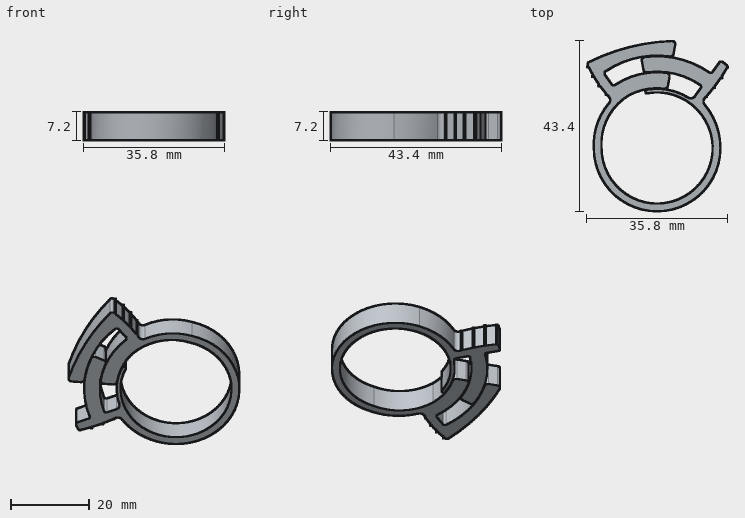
import cadquery as cq
import math

width = 7.2
ring_inner = 14.1
ring_outer = 16.15

clearance = 0.1
tongue_outer = 15.1
lower_jaw_inner = tongue_outer + clearance
lower_jaw_outer = 19.3
middle_jaw_inner = lower_jaw_outer + clearance
middle_jaw_outer = 23.4
upper_jaw_inner = middle_jaw_outer + clearance
post_tip = 27.55

left_jaw_end = 80
right_jaw_end = 100
tongue_end = 101.8
left_slot_wall = 125.4
right_slot_wall = 54
left_neck = 133.3
right_neck = 46.2

back_radius = 49.25
back_nearest = 26.65
back_nearest_angle = 103.6

swell_start = 180
swell_middle = 150
swell_end = 118
swell_inner_middle = 14.65
swell_outer_middle = 16.55
left_neck_outer = 16.8

right_swell_middle = 25
right_swell_outer = 16.22
right_neck_outer = 16.45

left_flank_top = (-17.87, 21.6)
left_flank_middle = (-14.9, 16.25)
right_flank_top = (18.05, 20.82)
right_flank_middle = (14.8, 15.88)

jaw_corner = 0.85
back_corner = 0.65
slot_corner = 0.55
tongue_root_corner = 1.2
tongue_corner = 0.4
neck_corner = 1.2
post_root_corner = 0.45
post_tip_corner = 0.65

bead_radius = 0.2
left_beads = [(-17.55, 20.65), (-16.3, 18.2), (-14.75, 15.88), (-12.9, 13.75)]
right_beads = [(17.8, 20.55), (16.4, 17.87), (14.55, 15.5), (12.45, 13.15)]


def polar(radius, angle):
    """Point at a radius and an angle in degrees about the bore axis."""
    turn = math.radians(angle)
    return (radius * math.cos(turn), radius * math.sin(turn))


def back_point(angle):
    """Point on the back of the upper jaw at an angle about the bore axis."""
    offset = back_radius - back_nearest
    turn = math.radians(angle - back_nearest_angle)
    reach = math.sqrt(back_radius**2 - (offset * math.sin(turn)) ** 2)
    return polar(reach - offset * math.cos(turn), angle)


def sweep(path, radius, start, end):
    """Continue a path along a bore-centred arc from one angle to another."""
    return path.threePointArc(polar(radius, (start + end) / 2), polar(radius, end))


def clamp_body():
    path = cq.Workplane("XY").moveTo(*polar(ring_inner, swell_start))
    path = path.threePointArc(polar(swell_inner_middle, swell_middle), polar(lower_jaw_inner, swell_end))
    path = sweep(path, lower_jaw_inner, swell_end, left_jaw_end)

    path = path.lineTo(*polar(lower_jaw_outer, left_jaw_end))
    path = sweep(path, lower_jaw_outer, left_jaw_end, left_slot_wall)
    path = path.lineTo(*polar(upper_jaw_inner, left_slot_wall))
    path = sweep(path, upper_jaw_inner, left_slot_wall, left_jaw_end)
    path = path.lineTo(*back_point(left_jaw_end))
    path = path.threePointArc(back_point(back_nearest_angle), left_flank_top)

    path = path.threePointArc(left_flank_middle, polar(left_neck_outer, left_neck))
    path = path.threePointArc(polar(swell_outer_middle, swell_middle), polar(ring_outer, swell_start))
    path = sweep(path, ring_outer, swell_start, 360)
    path = path.threePointArc(
        polar(right_swell_outer, right_swell_middle), polar(right_neck_outer, right_neck)
    )

    path = path.threePointArc(right_flank_middle, right_flank_top)
    path = path.lineTo(*polar(post_tip, right_slot_wall))
    path = path.lineTo(*polar(middle_jaw_outer, right_slot_wall))

    path = sweep(path, middle_jaw_outer, right_slot_wall, right_jaw_end)
    path = path.lineTo(*polar(middle_jaw_inner, right_jaw_end))
    path = sweep(path, middle_jaw_inner, right_jaw_end, right_slot_wall)
    path = path.lineTo(*polar(tongue_outer, right_slot_wall))
    path = sweep(path, tongue_outer, right_slot_wall, tongue_end)
    path = path.lineTo(*polar(ring_inner, tongue_end))

    path = sweep(path, ring_inner, tongue_end, swell_start - 360)
    return path.close().extrude(width / 2, both=True)


def round_corners(body, corners, radius):
    """Round the upright edges that pass through the given points."""
    for x, y in corners:
        edge = body.edges("|Z").edges(cq.selectors.NearestToPointSelector((x, y, 0)))
        body = edge.fillet(radius)
    return body


jaw_corners = [
    polar(lower_jaw_inner, left_jaw_end),
    polar(lower_jaw_outer, left_jaw_end),
    polar(upper_jaw_inner, left_jaw_end),
    back_point(left_jaw_end),
    polar(middle_jaw_outer, right_jaw_end),
    polar(middle_jaw_inner, right_jaw_end),
]
slot_corners = [
    polar(lower_jaw_outer, left_slot_wall),
    polar(upper_jaw_inner, left_slot_wall),
    polar(middle_jaw_inner, right_slot_wall),
]
tongue_corners = [polar(tongue_outer, tongue_end), polar(ring_inner, tongue_end)]
neck_corners = [polar(left_neck_outer, left_neck), polar(right_neck_outer, right_neck)]

body = clamp_body()
body = round_corners(body, jaw_corners, jaw_corner)
body = round_corners(body, [left_flank_top], back_corner)
body = round_corners(body, slot_corners, slot_corner)
body = round_corners(body, [polar(tongue_outer, right_slot_wall)], tongue_root_corner)
body = round_corners(body, tongue_corners, tongue_corner)
body = round_corners(body, neck_corners, neck_corner)
body = round_corners(body, [polar(middle_jaw_outer, right_slot_wall)], post_root_corner)
body = round_corners(body, [polar(post_tip, right_slot_wall), right_flank_top], post_tip_corner)

beads = cq.Workplane("XY").pushPoints(left_beads + right_beads).circle(bead_radius)
result = body.union(beads.extrude(width / 2, both=True))